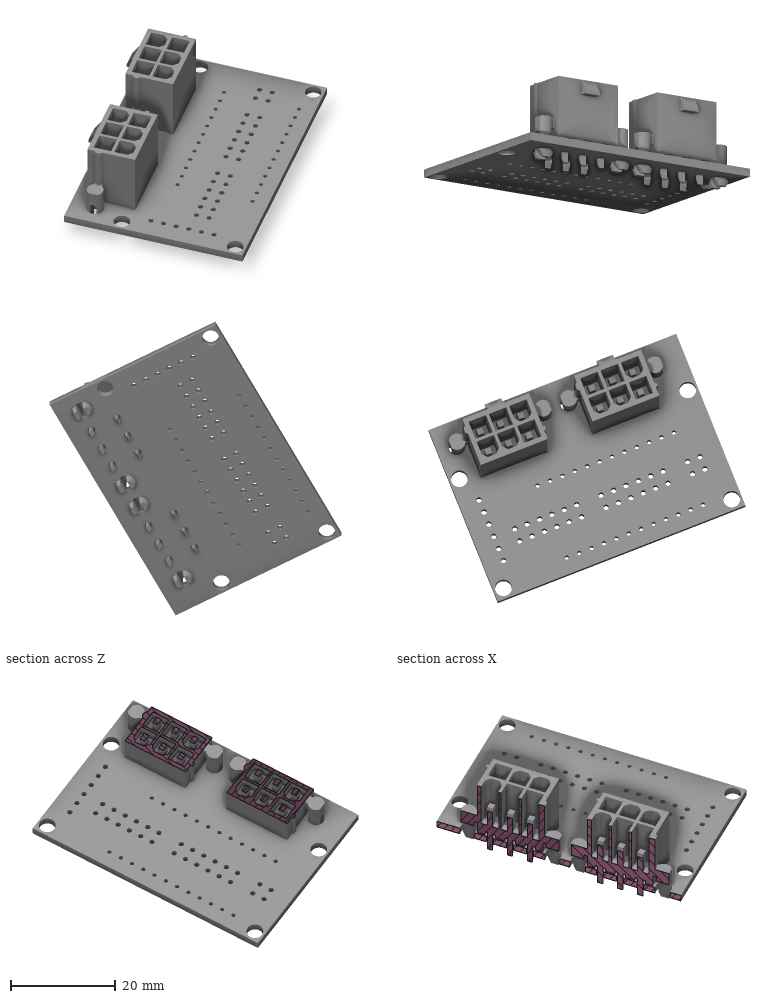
import cadquery as cq


BOARD_X = 36.0
BOARD_Y = 51.0
BOARD_THICKNESS = 1.6
MOUNT_HOLE_DIAMETER = 3.2
MOUNT_HOLE_X = (11.0, 33.9)
MOUNT_HOLE_EDGE_Y = 2.0
HOLE_PITCH = 2.55
SMALL_HOLE_DIAMETER = 0.8
SMALL_COLUMN_X = (17.75, 32.9)
SMALL_COLUMN_Y = 15.45
SMALL_COLUMN_COUNT = 12
LARGE_HOLE_DIAMETER = 1.0
LARGE_COLUMN_X = 23.95
LARGE_GROUPS = ((8.25, 6), (26.05, 6), (43.85, 2))
HEADER_X = 16.2
HEADER_Y = 4.0
HEADER_COUNT = 6

CONNECTOR_X = 7.55
CONNECTOR_Y = (12.75, 35.75)

HOUSING_X = 9.65
HOUSING_Y = 13.75
HOUSING_HEIGHT = 12.85
WAY_PITCH = 4.2
POCKET_SIZE = 3.55
POCKET_CHAMFER = 0.9
POCKET_FLOOR_Z = 3.05
POCKETS = [(column, row) for column in (-0.5, 0.5) for row in (-1, 0, 1)]
KEYED_POCKETS = [(-0.5, 1), (0.5, 0), (0.5, -1)]
STANDOFF_HEIGHT = 0.2
FOOT_WIDTH = 1.0
NOTCH_WIDTH = 2.1
NOTCH_HEIGHT = 0.95
LATCH_WIDTH = 3.35
LATCH_REACH = 1.5
LATCH_BOTTOM_Z = 9.85
LATCH_NOSE = 0.7
KEY_X = 2.6
KEY_WIDTH = 0.7
KEY_REACH = 0.4
RAIL_BASE = 1.75
RAIL_TIP = 0.85
RAIL_REACH = 0.45

PEG_DIAMETER = 3.2
PEG_X = -2.55
PEG_Y = 8.85
PEG_TOP_Z = 4.85
PEG_FLAT_SPAN = 2.75
PEG_SLOT_WIDTH = 1.4
PEG_SLOT_TOP_Z = 2.0
PEG_TIP_DEPTH = 1.65
PEG_TIP_SPAN = 1.7
BARB_DIAMETER = 3.9
BARB_DEPTH = 0.45
WEB_HEIGHT = 2.05
WEB_END_WIDTH = 1.95
WEB_WAIST = 1.65

PIN_MIRROR_X = -0.2
PIN_OUTER_OFFSET = 3.05
PIN_WIDTH = 1.15
POST_THICKNESS = 1.6
POST_TOP_Z = 7.65
POST_BEVEL_X = 0.4
POST_BEVEL_Z = 1.55
TAIL_THICKNESS = 0.6
TAIL_DEPTH = 1.9
TAIL_TAPER = 1.0
TAIL_TIP = 0.15
PIN_HOLE_DIAMETER = 1.4

BOARD_BOTTOM_Z = -BOARD_THICKNESS
PIN_OFFSETS_Y = [row * WAY_PITCH for row in (-1, 0, 1)]
TAIL_CENTRE_OFFSET = PIN_OUTER_OFFSET - TAIL_THICKNESS / 2


def block(x0, x1, y0, y1, z0, z1):
    """Box between two opposite corners."""
    return cq.Workplane("XY").box(x1 - x0, y1 - y0, z1 - z0, centered=False).translate((x0, y0, z0))


def holes(points, diameter):
    """Cylinders that drill through the board at the given points."""
    return (
        cq.Workplane("XY", origin=(0, 0, BOARD_BOTTOM_Z))
        .pushPoints(points)
        .circle(diameter / 2)
        .extrude(BOARD_THICKNESS)
    )


def make_board():
    mount_points = [(x, y) for x in MOUNT_HOLE_X for y in (MOUNT_HOLE_EDGE_Y, BOARD_Y - MOUNT_HOLE_EDGE_Y)]
    small_points = [
        (x, SMALL_COLUMN_Y + i * HOLE_PITCH) for x in SMALL_COLUMN_X for i in range(SMALL_COLUMN_COUNT)
    ]
    large_points = [
        (LARGE_COLUMN_X + column * HOLE_PITCH, start_y + row * HOLE_PITCH)
        for start_y, rows in LARGE_GROUPS
        for row in range(rows)
        for column in range(2)
    ]
    header_points = [(HEADER_X + i * HOLE_PITCH, HEADER_Y) for i in range(HEADER_COUNT)]
    peg_points = [(CONNECTOR_X + PEG_X, y + side * PEG_Y) for y in CONNECTOR_Y for side in (-1, 1)]
    pin_points = [
        (CONNECTOR_X + PIN_MIRROR_X + side * TAIL_CENTRE_OFFSET, y + offset)
        for y in CONNECTOR_Y
        for side in (-1, 1)
        for offset in PIN_OFFSETS_Y
    ]
    return (
        block(0, BOARD_X, 0, BOARD_Y, BOARD_BOTTOM_Z, 0)
        .cut(holes(mount_points, MOUNT_HOLE_DIAMETER))
        .cut(holes(small_points, SMALL_HOLE_DIAMETER))
        .cut(holes(large_points + header_points, LARGE_HOLE_DIAMETER))
        .cut(holes(peg_points, PEG_DIAMETER))
        .cut(holes(pin_points, PIN_HOLE_DIAMETER))
    )


def make_pocket(column, row):
    """Blind square pocket; a keyed one has its two +X corners cut off."""
    pocket = (
        cq.Workplane("XY", origin=(column * WAY_PITCH, row * WAY_PITCH, POCKET_FLOOR_Z))
        .rect(POCKET_SIZE, POCKET_SIZE)
        .extrude(HOUSING_HEIGHT - POCKET_FLOOR_Z)
    )
    if (column, row) in KEYED_POCKETS:
        pocket = pocket.edges("|Z and >X").chamfer(POCKET_CHAMFER)
    return pocket


def make_latch():
    """Wedge-shaped catch on the -X wall."""
    wall_x = -HOUSING_X / 2
    nose_x = wall_x - LATCH_REACH
    return (
        cq.Workplane("XZ")
        .moveTo(wall_x, HOUSING_HEIGHT)
        .lineTo(nose_x, LATCH_BOTTOM_Z + LATCH_NOSE)
        .lineTo(nose_x, LATCH_BOTTOM_Z)
        .lineTo(wall_x, LATCH_BOTTOM_Z)
        .close()
        .extrude(LATCH_WIDTH / 2, both=True)
    )


def make_rail():
    """Tapered rail on the -Y wall, standing above the peg's web."""
    wall_y = -HOUSING_Y / 2
    tip_y = wall_y - RAIL_REACH
    return (
        cq.Workplane("XY", origin=(PEG_X, 0, PEG_TOP_Z))
        .moveTo(-RAIL_BASE / 2, wall_y)
        .lineTo(-RAIL_TIP / 2, tip_y)
        .lineTo(RAIL_TIP / 2, tip_y)
        .lineTo(RAIL_BASE / 2, wall_y)
        .close()
        .extrude(HOUSING_HEIGHT - PEG_TOP_Z)
    )


def make_housing():
    half_x = HOUSING_X / 2
    half_y = HOUSING_Y / 2
    housing = block(-half_x, half_x, -half_y, half_y, 0, HOUSING_HEIGHT)
    for column, row in POCKETS:
        housing = housing.cut(make_pocket(column, row))

    foot_x = half_x - FOOT_WIDTH
    housing = housing.cut(block(-foot_x, foot_x, -half_y, half_y, 0, STANDOFF_HEIGHT))

    for y in PIN_OFFSETS_Y:
        notch = block(-half_x, foot_x, y - NOTCH_WIDTH / 2, y + NOTCH_WIDTH / 2, 0, NOTCH_HEIGHT)
        housing = housing.cut(notch)

    key_x0 = KEY_X - KEY_WIDTH / 2
    key_x1 = KEY_X + KEY_WIDTH / 2
    key = block(key_x0, key_x1, half_y, half_y + KEY_REACH, STANDOFF_HEIGHT, HOUSING_HEIGHT)
    return housing.union(make_latch()).union(make_rail()).union(key)


def make_peg():
    """Split snap peg with its web, on the +Y side of the housing."""
    radius = PEG_DIAMETER / 2
    tip_z = BOARD_BOTTOM_Z - PEG_TIP_DEPTH
    barb_z = BOARD_BOTTOM_Z - BARB_DEPTH

    turned = (
        cq.Workplane("XZ")
        .moveTo(0, PEG_TOP_Z)
        .lineTo(radius, PEG_TOP_Z)
        .lineTo(radius, barb_z)
        .lineTo(BARB_DIAMETER / 2, barb_z)
        .lineTo(radius, tip_z)
        .lineTo(0, tip_z)
        .close()
        .revolve(360, (0, 0, 0), (0, 1, 0))
    )

    flats = (
        cq.Workplane("YZ")
        .moveTo(-PEG_FLAT_SPAN / 2, PEG_TOP_Z)
        .lineTo(-PEG_FLAT_SPAN / 2, barb_z)
        .lineTo(-PEG_TIP_SPAN / 2, tip_z)
        .lineTo(PEG_TIP_SPAN / 2, tip_z)
        .lineTo(PEG_FLAT_SPAN / 2, barb_z)
        .lineTo(PEG_FLAT_SPAN / 2, PEG_TOP_Z)
        .close()
        .extrude(BARB_DIAMETER / 2, both=True)
    )

    half_slot = PEG_SLOT_WIDTH / 2
    slot_spring_z = PEG_SLOT_TOP_Z - half_slot
    slot = (
        cq.Workplane("XZ")
        .moveTo(-half_slot, tip_z)
        .lineTo(-half_slot, slot_spring_z)
        .threePointArc((0, PEG_SLOT_TOP_Z), (half_slot, slot_spring_z))
        .lineTo(half_slot, tip_z)
        .close()
        .extrude(PEG_DIAMETER, both=True)
    )

    wall_y = HOUSING_Y / 2 - PEG_Y
    root_y = -PEG_FLAT_SPAN / 2
    waist_y = (wall_y + root_y) / 2
    half_end = WEB_END_WIDTH / 2
    half_waist = WEB_WAIST / 2
    web = (
        cq.Workplane("XY", origin=(0, 0, PEG_TOP_Z - WEB_HEIGHT))
        .moveTo(-half_end, wall_y)
        .threePointArc((-half_waist, waist_y), (-half_end, root_y))
        .lineTo(half_end, root_y)
        .threePointArc((half_waist, waist_y), (half_end, wall_y))
        .close()
        .extrude(WEB_HEIGHT)
    )
    return turned.intersect(flats).cut(slot).union(web).translate((PEG_X, PEG_Y, 0))


def make_pin():
    """Pin of the +X row, with its outer face at PIN_OUTER_OFFSET from the mirror plane."""
    outer_x = PIN_OUTER_OFFSET
    tail_x = outer_x - TAIL_THICKNESS
    post_x = outer_x - POST_THICKNESS
    tip_z = BOARD_BOTTOM_Z - TAIL_DEPTH
    return (
        cq.Workplane("XZ")
        .moveTo(outer_x, tip_z)
        .lineTo(outer_x, POST_TOP_Z - POST_BEVEL_Z)
        .lineTo(outer_x - POST_BEVEL_X, POST_TOP_Z)
        .lineTo(post_x, POST_TOP_Z)
        .lineTo(post_x, POCKET_FLOOR_Z)
        .lineTo(tail_x, POCKET_FLOOR_Z)
        .lineTo(tail_x, tip_z + TAIL_TAPER)
        .lineTo(outer_x - TAIL_TIP, tip_z)
        .close()
        .extrude(PIN_WIDTH / 2, both=True)
    )


def make_connector():
    """Housing with its pegs and pins as one solid, centred on X = Y = 0."""
    connector = make_housing()
    peg = make_peg()
    connector = connector.union(peg).union(peg.mirror("XZ"))
    pin = make_pin()
    for y in PIN_OFFSETS_Y:
        connector = connector.union(pin.translate((PIN_MIRROR_X, y, 0)))
        connector = connector.union(pin.mirror("YZ").translate((PIN_MIRROR_X, y, 0)))
    return connector


board = make_board()
connector = make_connector()
connectors = [connector.translate((CONNECTOR_X, y, 0)) for y in CONNECTOR_Y]

result = cq.Compound.makeCompound([board.val(), *[placed.val() for placed in connectors]])